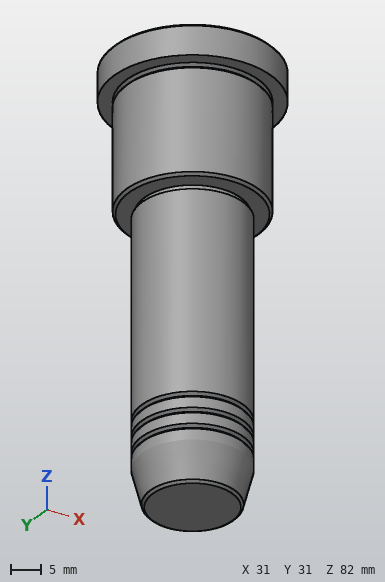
import cadquery as cq

total_length = 82.0
head_length = 6.0
head_and_collar_length = 27.0
neck_length = 1.0
taper_length = 7.0

head_radius = 15.5
collar_radius = 13.0
shaft_radius = 10.0
neck_radius = 9.5
taper_end_radius = 8.2

edge_chamfer = 0.5
tip_chamfer_height = 0.5
tip_chamfer_width = 0.3
groove_depth = 0.5
groove_width = 2 * groove_depth
groove_count = 3
groove_pitch = 3 * groove_width
lowest_groove_height = 9.5

head_bottom = total_length - head_length
collar_bottom = total_length - head_and_collar_length


def cylinder(radius, bottom, top):
    return cq.Workplane("XY").workplane(offset=bottom).circle(radius).extrude(top - bottom)


def v_groove(radius, center_height):
    """Ring with a triangular section that points inward from the given radius."""
    return (
        cq.Workplane("XZ")
        .moveTo(radius, center_height - groove_width / 2)
        .lineTo(radius - groove_depth, center_height)
        .lineTo(radius, center_height + groove_width / 2)
        .close()
        .revolve(360, (0, 0, 0), (0, 1, 0))
    )


head = cylinder(head_radius, head_bottom, total_length).faces(">Z").chamfer(edge_chamfer)

collar = cylinder(collar_radius, collar_bottom, head_bottom).faces("<Z").chamfer(edge_chamfer)
collar = collar.cut(v_groove(collar_radius, head_bottom - groove_width / 2))

shaft_top = collar_bottom - neck_length
neck = cylinder(neck_radius, shaft_top, collar_bottom)

shaft = cylinder(shaft_radius, taper_length, shaft_top)
for index in range(groove_count):
    shaft = shaft.cut(v_groove(shaft_radius, lowest_groove_height + index * groove_pitch))

tip = (
    cq.Workplane("XY")
    .circle(taper_end_radius)
    .workplane(offset=taper_length)
    .circle(shaft_radius)
    .loft(ruled=True)
    .faces("<Z")
    .chamfer(tip_chamfer_height, tip_chamfer_width)
)

result = head.union(collar).union(neck).union(shaft).union(tip)